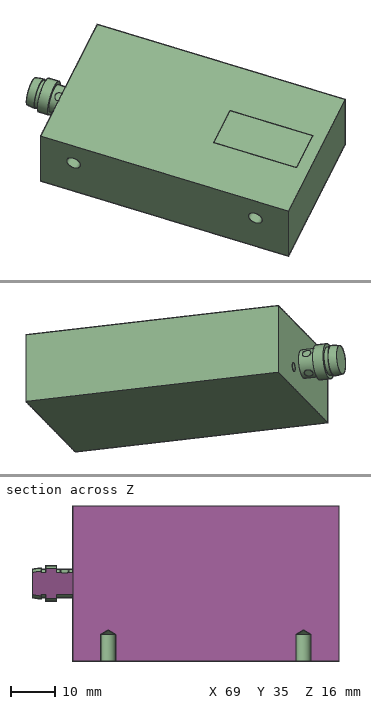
import cadquery as cq
import math

OVERALL_LENGTH = 69

HOUSING_LENGTH = 59.95
HOUSING_WIDTH = 35.0
HOUSING_HEIGHT = 16.0

WINDOW_LENGTH = 20.0
WINDOW_WIDTH = 10.0
WINDOW_END_MARGIN = 3.0
WINDOW_DEPTH = 0.1

INDICATOR_DIAMETER = 2.0
INDICATOR_Y = 6.5
INDICATOR_DROP = 3.0
INDICATOR_DEPTH = 0.1

HOLE_DIAMETER = 3.3
HOLE_DEPTH = 6.0
DRILL_POINT_ANGLE = 118
HOLE_FIRST_X = 8.0
HOLE_SPACING = 43.95
HOLE_RISE = 2.0

BARREL_DIAMETER = 6.5
COLLAR_DIAMETER = 8.0
LIP_DIAMETER = 7.0
CONNECTOR_LENGTH = OVERALL_LENGTH - HOUSING_LENGTH
LIP_LENGTH = 2.0
COLLAR_START = 3.0
COLLAR_LENGTH = 2.5

DIMPLE_DIAMETER = 2.0
DIMPLE_COUNT = 4
DIMPLE_FIRST_ANGLE = -26
DIMPLE_FLOOR_RADIUS = 3.1
DIMPLE_FROM_HOUSING = 1.8


def make_housing():
    block = cq.Workplane("XY").box(
        HOUSING_LENGTH, HOUSING_WIDTH, HOUSING_HEIGHT, centered=(False, True, True)
    )
    window = cq.Workplane("XY").box(
        WINDOW_LENGTH, WINDOW_WIDTH, WINDOW_DEPTH, centered=(False, True, False)
    ).translate(
        (
            HOUSING_LENGTH - WINDOW_END_MARGIN - WINDOW_LENGTH,
            0,
            HOUSING_HEIGHT / 2 - WINDOW_DEPTH,
        )
    )
    indicator = (
        cq.Workplane("YZ")
        .center(INDICATOR_Y, -INDICATOR_DROP)
        .circle(INDICATOR_DIAMETER / 2)
        .extrude(INDICATOR_DEPTH)
    )
    block = block.cut(window).cut(indicator)
    for x in (HOLE_FIRST_X, HOLE_FIRST_X + HOLE_SPACING):
        block = block.cut(drilled_hole(x))
    return block


def drilled_hole(x):
    """Round bore along Y ending in a drill point, turned about its own axis."""
    radius = HOLE_DIAMETER / 2
    point_depth = radius / math.tan(math.radians(DRILL_POINT_ANGLE / 2))
    return (
        cq.Workplane("XY")
        .polyline([(0, 0), (radius, 0), (radius, HOLE_DEPTH), (0, HOLE_DEPTH + point_depth)])
        .close()
        .revolve(360, (0, 0, 0), (0, 1, 0))
        .translate((x, -HOUSING_WIDTH / 2, HOLE_RISE))
    )


def make_connector():
    tip = -CONNECTOR_LENGTH
    barrel = BARREL_DIAMETER / 2
    collar = COLLAR_DIAMETER / 2
    collar_front = tip + COLLAR_START
    collar_back = collar_front + COLLAR_LENGTH
    lip = LIP_DIAMETER / 2
    lip_back = tip + LIP_LENGTH
    lip_rise = lip - barrel
    lip_arc_radius = (LIP_LENGTH**2 + lip_rise**2) / (2 * lip_rise)
    half_sweep = math.asin(LIP_LENGTH / lip_arc_radius) / 2
    lip_middle = (
        lip_back - lip_arc_radius * math.sin(half_sweep),
        lip - lip_arc_radius * (1 - math.cos(half_sweep)),
    )
    body = (
        cq.Workplane("XY")
        .moveTo(tip, 0)
        .lineTo(tip, barrel)
        .threePointArc(lip_middle, (lip_back, lip))
        .lineTo(lip_back, barrel)
        .lineTo(collar_front, barrel)
        .lineTo(collar_front, collar)
        .lineTo(collar_back, collar)
        .lineTo(collar_back, barrel)
        .lineTo(0, barrel)
        .lineTo(0, 0)
        .close()
        .revolve(360, (0, 0, 0), (1, 0, 0))
    )
    for i in range(DIMPLE_COUNT):
        angle = DIMPLE_FIRST_ANGLE + i * 360 / DIMPLE_COUNT
        body = body.cut(dimple(angle))
    return body


def dimple(angle):
    return (
        cq.Workplane("XZ", origin=(-DIMPLE_FROM_HOUSING, -DIMPLE_FLOOR_RADIUS, 0))
        .circle(DIMPLE_DIAMETER / 2)
        .extrude(BARREL_DIAMETER / 2)
        .rotate((0, 0, 0), (1, 0, 0), -angle)
    )


housing = make_housing()
connector = make_connector()
result = cq.Compound.makeCompound([housing.val(), connector.val()])